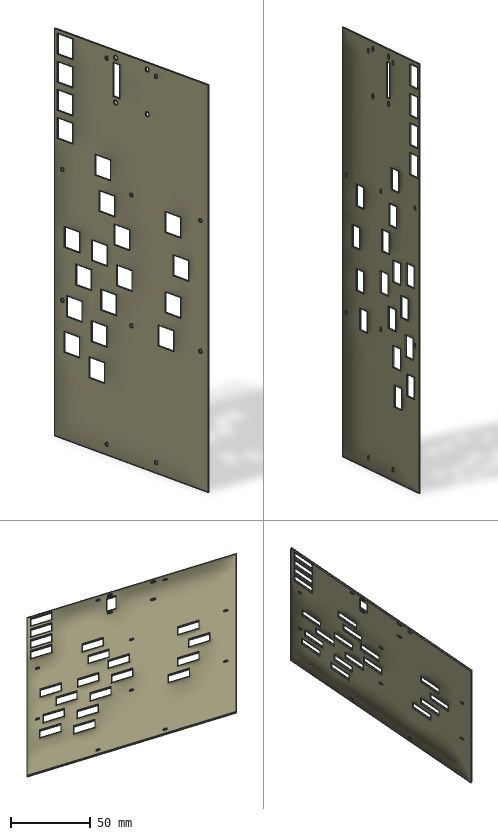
import cadquery as cq

plate_width = 139.0
plate_height = 275.0
plate_thickness = 1.0

switch_size = 14.0

column_x = -60.0
column_top_z = 128.0
column_pitch = 19.0
column_count = 4
column_centers = [(column_x, column_top_z - i * column_pitch) for i in range(column_count)]

left_group_centers = [
    (-25.8, 55.5),
    (-22.0, 32.2),
    (-8.5, 13.2),
    (-53.5, -0.8),
    (-29.0, -3.0),
    (-6.3, -13.8),
    (-43.2, -23.5),
    (-20.5, -34.0),
    (-51.7, -47.0),
    (-29.2, -57.8),
    (-54.0, -71.8),
    (-31.4, -82.8),
]

right_group_centers = [
    (37.7, 34.5),
    (44.8, 7.2),
    (37.7, -19.8),
    (31.4, -44.0),
]

window_width = 6.0
window_height = 22.8
window_center = (-13.5, 117.7)

display_hole_diameter = 3.3
display_hole_columns = 2
display_hole_spacing_x = 28.5
display_hole_spacing_z = 30.2
display_center = (0.0, 117.7)

mount_hole_diameter = 2.7

middle_hole_columns = 3
middle_hole_spacing_x = 62.5
middle_hole_spacing_z = 88.3

end_hole_columns = 2
end_hole_spacing_x = 44.5
end_hole_spacing_z = 260.7


def cutter(outline):
    """Extrude a sketch on the XZ plane through the whole plate thickness."""
    return outline.extrude(plate_thickness, both=True)


def rectangles(centers, width, height):
    """Rectangular through cutters at the given (x, z) centers."""
    return cutter(cq.Workplane("XZ").pushPoints(centers).rect(width, height))


def holes(centers, diameter):
    """Round through cutters at the given (x, z) centers."""
    return cutter(cq.Workplane("XZ").pushPoints(centers).circle(diameter / 2))


def grid(columns, spacing_x, spacing_z, center=(0.0, 0.0)):
    """Centers of two rows of evenly spaced holes, arranged around a middle point."""
    return [
        (center[0] + (i - (columns - 1) / 2) * spacing_x, center[1] + side * spacing_z / 2)
        for i in range(columns)
        for side in (-1, 1)
    ]


switch_centers = column_centers + left_group_centers + right_group_centers
display_hole_centers = grid(display_hole_columns, display_hole_spacing_x, display_hole_spacing_z, display_center)
middle_hole_centers = grid(middle_hole_columns, middle_hole_spacing_x, middle_hole_spacing_z)
end_hole_centers = grid(end_hole_columns, end_hole_spacing_x, end_hole_spacing_z)

plate = cq.Workplane("XY").box(plate_width, plate_thickness, plate_height)

result = (
    plate.cut(rectangles(switch_centers, switch_size, switch_size))
    .cut(rectangles([window_center], window_width, window_height))
    .cut(holes(display_hole_centers, display_hole_diameter))
    .cut(holes(middle_hole_centers + end_hole_centers, mount_hole_diameter))
)